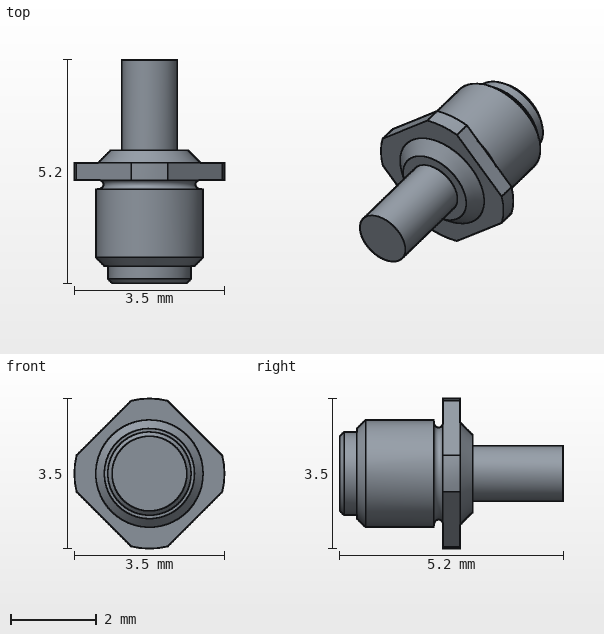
import cadquery as cq

TIP_CHAMFER = 0.1
BARREL_FRONT = 0.4
BARREL_CHAMFER = 0.2
BARREL_BACK = 2.185
GROOVE_FRONT = 2.2
FLANGE_FRONT = 2.4
FLANGE_THICKNESS = 0.4
COLLAR_LENGTH = 0.3
TOTAL_LENGTH = 5.2

TIP_RADIUS = 1.94 / 2
BARREL_RADIUS = 2.5 / 2
GROOVE_RADIUS = 2.15 / 2
COLLAR_BASE_RADIUS = 2.4 / 2
TAIL_RADIUS = 1.3 / 2

FLANGE_DIAMETER = 3.5
FLANGE_ACROSS_FLATS = 3.0
FLAT_ANGLE = 45

FLANGE_BACK = FLANGE_FRONT + FLANGE_THICKNESS
COLLAR_BACK = FLANGE_BACK + COLLAR_LENGTH
COLLAR_TIP_RADIUS = COLLAR_BASE_RADIUS - COLLAR_LENGTH

GROOVE_HALF_WIDTH = (FLANGE_FRONT - GROOVE_FRONT) / 2
GROOVE_MIDDLE = GROOVE_FRONT + GROOVE_HALF_WIDTH
GROOVE_EDGE_RADIUS = GROOVE_RADIUS + GROOVE_HALF_WIDTH


def make_turned_body():
    """Tip, barrel, grooved neck, conical collar and tail, revolved about Y."""
    return (
        cq.Workplane("XY")
        .moveTo(0, 0)
        .lineTo(TIP_RADIUS - TIP_CHAMFER, 0)
        .lineTo(TIP_RADIUS, TIP_CHAMFER)
        .lineTo(TIP_RADIUS, BARREL_FRONT)
        .lineTo(BARREL_RADIUS - BARREL_CHAMFER, BARREL_FRONT)
        .lineTo(BARREL_RADIUS, BARREL_FRONT + BARREL_CHAMFER)
        .lineTo(BARREL_RADIUS, BARREL_BACK)
        .lineTo(GROOVE_EDGE_RADIUS, GROOVE_FRONT)
        .threePointArc((GROOVE_RADIUS, GROOVE_MIDDLE), (GROOVE_EDGE_RADIUS, FLANGE_FRONT))
        .lineTo(COLLAR_BASE_RADIUS, FLANGE_FRONT)
        .lineTo(COLLAR_BASE_RADIUS, FLANGE_BACK)
        .lineTo(COLLAR_TIP_RADIUS, COLLAR_BACK)
        .lineTo(TAIL_RADIUS, COLLAR_BACK)
        .lineTo(TAIL_RADIUS, TOTAL_LENGTH)
        .lineTo(0, TOTAL_LENGTH)
        .close()
        .revolve(360, (0, 0, 0), (0, 1, 0))
    )


def make_flange():
    """Disc trimmed by a square whose corners point along X and Z."""
    front_plane = cq.Workplane("XZ", origin=(0, FLANGE_FRONT, 0))
    disc = front_plane.circle(FLANGE_DIAMETER / 2).extrude(-FLANGE_THICKNESS)
    square = (
        front_plane
        .transformed(rotate=(0, 0, FLAT_ANGLE))
        .rect(FLANGE_ACROSS_FLATS, FLANGE_ACROSS_FLATS)
        .extrude(-FLANGE_THICKNESS)
    )
    return disc.intersect(square)


result = make_turned_body().union(make_flange())